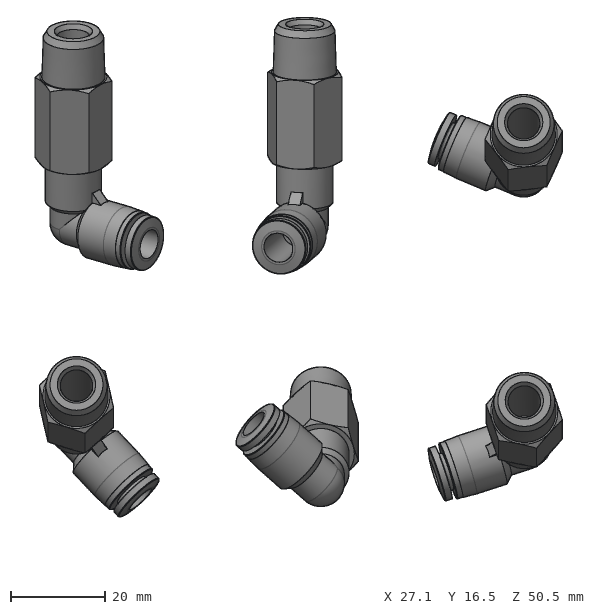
import cadquery as cq
import math


ELBOW_RADIUS = 5.0
PASSAGE_DIAMETER = 3.5

SLEEVE_RADIUS = 6.0
SLEEVE_BOTTOM = 5.0
SLEEVE_CONE_BOTTOM = SLEEVE_BOTTOM - (SLEEVE_RADIUS - ELBOW_RADIUS)

HEX_ACROSS_FLATS = 14.2875
HEX_ACROSS_CORNERS = HEX_ACROSS_FLATS / math.cos(math.radians(30))
HEX_BOTTOM = 14.0
HEX_TOP = 33.5
HEX_CHAMFER_ANGLE = 30
HEX_FACE_RADIUS = 7.1

STEM_TOP = 44.0
THREAD_BASE_RADIUS = 6.73
THREAD_TAPER = 1 / 32
THREAD_CHAMFER_HEIGHT = 1.45
END_CONE_SLOPE = math.tan(math.radians(30))

STEM_BORE_DIAMETER = 6.86
STEM_BORE_MOUTH_DIAMETER = 8.1
STEM_BORE_MOUTH_DEPTH = (STEM_BORE_MOUTH_DIAMETER - STEM_BORE_DIAMETER) / 2 / END_CONE_SLOPE
STEM_BORE_FLOOR = HEX_BOTTOM
ORIFICE_DIAMETER = 2.9

SOCKET_RADIUS = 6.5
SOCKET_CONE_END = 6.0
SOCKET_CONE_START = SOCKET_CONE_END - (SOCKET_RADIUS - ELBOW_RADIUS)
SOCKET_TAPER_START = 12.75
SOCKET_TAPER_END = 15.8
SOCKET_TAPER_END_RADIUS = 6.33
SOCKET_END = 17.1
SOCKET_RING_RADIUS = 6.25
SOCKET_RING_CHAMFER = 0.15

COLLAR_NECK_RADIUS = 8.35 / 2
COLLAR_NECK_ROOT_RADIUS = 4.0
COLLAR_NECK_CONE_END = 17.83
COLLAR_START = 18.05
COLLAR_RIM_END = 19.45
COLLAR_RIM_CHAMFER = 0.15
COLLAR_END = 20.0
COLLAR_RADIUS = 5.9
COLLAR_FACE_RADIUS = 3.7
TUBE_DIAMETER = 6.35
TUBE_STOP = SOCKET_CONE_END

GUSSET_WIDTH = 2.6
GUSSET_FOOT = 8.1
GUSSET_BURIED_DEPTH = 1.5


def revolve_about_z(points):
    """Turn an (r, z) half outline about Z."""
    return cq.Workplane("XZ").polyline(points).close().revolve(360, (0, 0, 0), (0, 1, 0))


def revolve_about_x(points):
    """Turn an (x, r) half outline about X."""
    return cq.Workplane("XZ").polyline(points).close().revolve(360, (0, 0, 0), (1, 0, 0))


def make_stem():
    """Elbow leg, sleeve and tapered thread blank."""
    chamfer_bottom = STEM_TOP - THREAD_CHAMFER_HEIGHT
    thread_end_radius = THREAD_BASE_RADIUS - THREAD_TAPER * (chamfer_bottom - HEX_TOP)
    tip_radius = thread_end_radius - THREAD_CHAMFER_HEIGHT * END_CONE_SLOPE
    return revolve_about_z([
        (0, 0),
        (ELBOW_RADIUS, 0),
        (ELBOW_RADIUS, SLEEVE_CONE_BOTTOM),
        (SLEEVE_RADIUS, SLEEVE_BOTTOM),
        (SLEEVE_RADIUS, HEX_TOP),
        (THREAD_BASE_RADIUS, HEX_TOP),
        (thread_end_radius, chamfer_bottom),
        (tip_radius, STEM_TOP),
        (0, STEM_TOP),
    ])


def make_hexagon():
    """Hexagon with corners on the Y axis, both ends chamfered by a cone."""
    height = HEX_TOP - HEX_BOTTOM
    prism = (
        cq.Workplane("XY")
        .workplane(offset=HEX_BOTTOM)
        .transformed(rotate=(0, 0, 90))
        .polygon(6, HEX_ACROSS_CORNERS)
        .extrude(height)
    )
    outer_radius = HEX_ACROSS_CORNERS
    drop = (outer_radius - HEX_FACE_RADIUS) * math.tan(math.radians(HEX_CHAMFER_ANGLE))
    chamfer_envelope = revolve_about_z([
        (0, HEX_BOTTOM),
        (HEX_FACE_RADIUS, HEX_BOTTOM),
        (outer_radius, HEX_BOTTOM + drop),
        (outer_radius, HEX_TOP - drop),
        (HEX_FACE_RADIUS, HEX_TOP),
        (0, HEX_TOP),
    ])
    return prism.intersect(chamfer_envelope)


def make_socket():
    """Elbow leg along X, socket body and release collar."""
    return revolve_about_x([
        (0, 0),
        (0, ELBOW_RADIUS),
        (SOCKET_CONE_START, ELBOW_RADIUS),
        (SOCKET_CONE_END, SOCKET_RADIUS),
        (SOCKET_TAPER_START, SOCKET_RADIUS),
        (SOCKET_TAPER_END, SOCKET_TAPER_END_RADIUS),
        (SOCKET_TAPER_END, SOCKET_RING_RADIUS),
        (SOCKET_END - SOCKET_RING_CHAMFER, SOCKET_RING_RADIUS),
        (SOCKET_END, SOCKET_RING_RADIUS - SOCKET_RING_CHAMFER),
        (SOCKET_END, COLLAR_NECK_ROOT_RADIUS),
        (COLLAR_NECK_CONE_END, COLLAR_NECK_RADIUS),
        (COLLAR_START, COLLAR_NECK_RADIUS),
        (COLLAR_START, COLLAR_RADIUS),
        (COLLAR_RIM_END, COLLAR_RADIUS),
        (COLLAR_RIM_END + COLLAR_RIM_CHAMFER, COLLAR_RADIUS - COLLAR_RIM_CHAMFER),
        (COLLAR_END, COLLAR_FACE_RADIUS),
        (COLLAR_END, 0),
    ])


def make_gusset():
    """Triangular web from the sleeve down onto the socket."""
    top = SOCKET_RADIUS + GUSSET_FOOT - SLEEVE_RADIUS
    inner_x = SLEEVE_RADIUS / 2
    return (
        cq.Workplane("XZ")
        .polyline([
            (inner_x, SOCKET_RADIUS - GUSSET_BURIED_DEPTH),
            (GUSSET_FOOT + GUSSET_BURIED_DEPTH, SOCKET_RADIUS - GUSSET_BURIED_DEPTH),
            (SLEEVE_RADIUS, top),
            (inner_x, top),
        ])
        .close()
        .extrude(GUSSET_WIDTH / 2, both=True)
    )


def make_stem_bore():
    """Wide bore with a conical mouth, then an orifice down to the elbow."""
    bore_radius = STEM_BORE_DIAMETER / 2
    mouth_radius = STEM_BORE_MOUTH_DIAMETER / 2
    orifice_radius = ORIFICE_DIAMETER / 2
    return revolve_about_z([
        (0, 0),
        (orifice_radius, 0),
        (orifice_radius, STEM_BORE_FLOOR),
        (bore_radius, STEM_BORE_FLOOR),
        (bore_radius, STEM_TOP - STEM_BORE_MOUTH_DEPTH),
        (mouth_radius, STEM_TOP),
        (0, STEM_TOP),
    ])


def make_socket_bore():
    """Elbow passage with a rounded end, opening into the tube bore."""
    passage_radius = PASSAGE_DIAMETER / 2
    tube_radius = TUBE_DIAMETER / 2
    bore = revolve_about_x([
        (0, 0),
        (0, passage_radius),
        (TUBE_STOP, passage_radius),
        (TUBE_STOP, tube_radius),
        (COLLAR_END, tube_radius),
        (COLLAR_END, 0),
    ])
    return bore.union(cq.Workplane("XY").sphere(passage_radius))


body = make_stem().union(make_hexagon()).union(make_socket())
body = body.union(cq.Workplane("XY").sphere(ELBOW_RADIUS)).union(make_gusset())
result = body.cut(make_stem_bore()).cut(make_socket_bore())